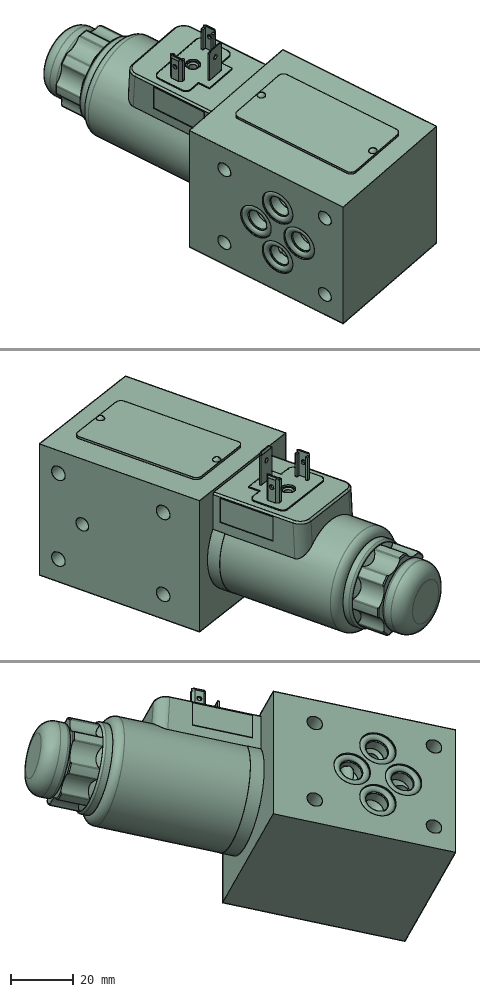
import cadquery as cq
import math


BLOCK_LENGTH = 62.0
BLOCK_SIDE = 49.7
MID_Z = BLOCK_SIDE / 2

MOUNT_DIA = 5.2
MOUNT_NEAR_X = 14.1
MOUNT_FAR_X = 54.7
MOUNT_NEAR_SPACING = 31.0
MOUNT_FAR_SPACING = 32.5

PORT_MID_X = 35.6
PORT_MID_Z = 25.0
PORT_SPACING_X = 17.5
PORT_SPACING_Z = 21.0
PORT_DIA = 7.7
PORT_DEPTH = 5.4
DRILL_TIP_ANGLE = 118
SEAL_OUTER_DIA = 12.4
SEAL_WIDTH = 2.3
SEAL_THICKNESS = 1.6
LEFT_PORT_X = PORT_MID_X - PORT_SPACING_X / 2
RIGHT_PORT_X = PORT_MID_X + PORT_SPACING_X / 2
UPPER_PORT_Z = PORT_MID_Z + PORT_SPACING_Z / 2
LOWER_PORT_Z = PORT_MID_Z - PORT_SPACING_Z / 2

PASSAGE_DIA = 4.8
THROUGH_OFFSET_X = 1.1
RISER_DEPTH = PORT_DEPTH + 0.7
RISER_BOTTOM_Z = PORT_MID_Z - 0.8
RISER_LENGTH = 8.0
GALLERY_DIA = 12.1
GALLERY_LENGTH = 10.7
GALLERY_DEPTH = 24.2
SIDE_PASSAGE_OFFSET_X = 2.4
SIDE_PASSAGE_DROP = 2.1
SIDE_PASSAGE_LENGTH = 6.7
SIDE_PASSAGE_DEPTH = PORT_DEPTH + 2.0
GALLERY_Z = UPPER_PORT_Z + PASSAGE_DIA / 2

PLATE_LENGTH = 48.0
PLATE_WIDTH = 26.0
PLATE_START_X = 7.1
PLATE_CORNER = 2.0
PLATE_THICKNESS = 0.8
RIVET_DIA = 3.0
RIVET_CENTRE_RISE = 0.3

AXIS_Y = 27.0
AXIS_Z = MID_Z
COIL_DIA = 36.1
COIL_LENGTH = 50.5
COIL_ROUNDING = 3.0
COLLAR_DIA = 36.3
COLLAR_LENGTH = 4.7

HOUSING_WIDTH = 30.1
HOUSING_TOP_Z = 48.8
HOUSING_TOP_LENGTH = 35.2
HOUSING_DRAFT_ANGLE = 3.0
HOUSING_CORNER = 4.2
HOUSING_TOP_CHAMFER = 0.7

LABEL_START_X = -23.4
LABEL_END_X = -3.0
LABEL_BOTTOM_Z = 38.7
LABEL_TOP_Z = 47.8
LABEL_DEPTH = 0.2

PAD_HEIGHT = 0.4
PAD_START_X = -25.7
PAD_LENGTH = 13.4
PAD_WIDTH = 24.2
PAD_CORNER = 2.0
PAD_TAB_LENGTH = 4.4
PAD_TAB_WIDTH = 12.1
PAD_TOP_Z = HOUSING_TOP_Z + PAD_HEIGHT

SCREW_X = -19.1
SCREW_SEAT_DIA = 4.8
SCREW_SEAT_DEPTH = 0.7
SCREW_RIM_DIA = 3.8
SCREW_HOLE_DIA = 2.7
SCREW_HOLE_DEPTH = 6.7

CHANNEL_WIDTH = 4.8
CHANNEL_FACE_WIDTH = 3.0
CHANNEL_OUTER_REACH = 9.5
CHANNEL_DEPTH = 2.0
CHANNEL_BEVEL = 0.8
CHANNEL_TIP_HEIGHT = 0.8
CHANNEL_TIP_BEVEL = 0.3
CHANNEL_THICKNESS = 0.8
CHANNEL_TOP_Z = 58.5
CHANNEL_FLANGE_DROP = 0.8
CHANNEL_HOLE_Z = 54.7
CONTACT_HOLE_DIA = 1.6

BLADE_X = -10.3
BLADE_THICKNESS = 0.7
BLADE_WIDTH = 6.3
BLADE_TOP_Z = 61.2
BLADE_HOLE_Z = 57.0
BLADE_CORNER = 1.0
BLADE_BEVEL = 0.4

NUT_DIA = 28.9
NUT_LENGTH = 10.1
NUT_EDGE = 0.4
FLANGE_DIA = 30.4
FLANGE_LENGTH = 3.1
FLANGE_ROUNDING = 0.8
FLUTE_COUNT = 8
FLUTE_ROOT_RADIUS = 12.5
FLUTE_RADIUS = 5.9
FLUTE_RUNOUT = 1.3

CAP_DIA = 25.0
CAP_LENGTH = 8.6
CAP_ROUNDING = 5.0
CAP_BACK_ROUNDING = 1.1

FLANGE_BACK_X = -COIL_LENGTH
NUT_BACK_X = FLANGE_BACK_X - FLANGE_LENGTH
NUT_FRONT_X = NUT_BACK_X - NUT_LENGTH
CAP_FRONT_X = NUT_FRONT_X - CAP_LENGTH


def disc(start_x, end_x, diameter):
    """Cylinder on the coil axis."""
    centre = cq.Workplane("YZ", origin=(start_x, AXIS_Y, AXIS_Z))
    return centre.circle(diameter / 2).extrude(end_x - start_x)


def drilling(x, z, start_y, depth, diameter):
    """Flat-ended drilling that runs into the block along +Y."""
    return cq.Workplane("XZ", origin=(x, start_y, z)).circle(diameter / 2).extrude(-depth)


def box_between(start, end):
    """Box given by two opposite corners."""
    size = [b - a for a, b in zip(start, end)]
    return cq.Workplane("XY", origin=start).box(*size, centered=False)



PORTS = [
    (LEFT_PORT_X, PORT_MID_Z),
    (RIGHT_PORT_X, PORT_MID_Z),
    (PORT_MID_X, UPPER_PORT_Z),
    (PORT_MID_X, LOWER_PORT_Z),
]


def port_cavity(x, z):
    """Seal groove and a drilled port with a conical end."""
    port_radius = PORT_DIA / 2
    tip_depth = port_radius / math.tan(math.radians(DRILL_TIP_ANGLE / 2))
    profile = [
        (0, 0),
        (SEAL_OUTER_DIA / 2, 0),
        (SEAL_OUTER_DIA / 2, SEAL_THICKNESS),
        (port_radius, SEAL_THICKNESS),
        (port_radius, PORT_DEPTH),
        (0, PORT_DEPTH + tip_depth),
    ]
    return cq.Workplane("XY").polyline(profile).close().revolve(360, (0, 0), (0, 1)).translate((x, 0, z))


def inner_passages():
    """Drillings that lead on from the ends of the ports."""
    through_x = RIGHT_PORT_X + THROUGH_OFFSET_X
    through = drilling(through_x, PORT_MID_Z, PORT_DEPTH, BLOCK_SIDE - PORT_DEPTH, PASSAGE_DIA)
    riser = (
        cq.Workplane("XY", origin=(LEFT_PORT_X, RISER_DEPTH, RISER_BOTTOM_Z))
        .circle(PASSAGE_DIA / 2)
        .extrude(RISER_LENGTH)
    )
    link = drilling(PORT_MID_X, UPPER_PORT_Z, PORT_DEPTH, GALLERY_DEPTH - PORT_DEPTH, PASSAGE_DIA)
    gallery = (
        cq.Workplane("YZ", origin=(PORT_MID_X - GALLERY_LENGTH / 2, GALLERY_DEPTH, GALLERY_Z))
        .circle(GALLERY_DIA / 2)
        .extrude(GALLERY_LENGTH)
    )
    side_passage = (
        cq.Workplane(
            "YZ",
            origin=(PORT_MID_X - SIDE_PASSAGE_OFFSET_X, SIDE_PASSAGE_DEPTH, LOWER_PORT_Z - SIDE_PASSAGE_DROP),
        )
        .circle(PASSAGE_DIA / 2)
        .extrude(-SIDE_PASSAGE_LENGTH)
    )
    return [through, riser, link, gallery, side_passage]


def mounting_holes():
    holes = []
    for x, spacing in ((MOUNT_NEAR_X, MOUNT_NEAR_SPACING), (MOUNT_FAR_X, MOUNT_FAR_SPACING)):
        for side in (-1, 1):
            holes.append(drilling(x, MID_Z + side * spacing / 2, 0, BLOCK_SIDE, MOUNT_DIA))
    return holes


def add_nameplate(body):
    """Raised plate on the top face with a domed rivet at each end."""
    plate_mid_x = PLATE_START_X + PLATE_LENGTH / 2
    plate = (
        cq.Workplane("XY", origin=(plate_mid_x, AXIS_Y, BLOCK_SIDE))
        .rect(PLATE_LENGTH, PLATE_WIDTH)
        .extrude(PLATE_THICKNESS)
        .edges("|Z")
        .fillet(PLATE_CORNER)
    )
    body = body.union(plate)
    rivet_reach = (PLATE_LENGTH - RIVET_DIA) / 2
    for side in (-1, 1):
        centre = (plate_mid_x + side * rivet_reach, AXIS_Y, BLOCK_SIDE + RIVET_CENTRE_RISE)
        body = body.union(cq.Workplane("XY", origin=centre).sphere(RIVET_DIA / 2))
    return body


def make_block():
    body = box_between((0, 0, 0), (BLOCK_LENGTH, BLOCK_SIDE, BLOCK_SIDE))
    body = add_nameplate(body)
    for x, z in PORTS:
        body = body.cut(port_cavity(x, z))
    for cutter in inner_passages() + mounting_holes():
        body = body.cut(cutter)
    return body




def make_seal(x, z):
    """Oval-section ring that fills its groove up to the port face."""
    ring_radius = (SEAL_OUTER_DIA - SEAL_WIDTH) / 2
    section = cq.Workplane("XY", origin=(ring_radius, SEAL_THICKNESS / 2, 0)).ellipse(
        SEAL_WIDTH / 2, SEAL_THICKNESS / 2
    )
    ring = section.revolve(360, (-ring_radius, 0), (-ring_radius, 1))
    return ring.translate((x, 0, z))




def connector_housing():
    """Box above the coil with a drafted end face and rounded corners."""
    draft_run = (HOUSING_TOP_Z - AXIS_Z) * math.tan(math.radians(HOUSING_DRAFT_ANGLE))
    side_outline = [
        (0, AXIS_Z),
        (0, HOUSING_TOP_Z),
        (-HOUSING_TOP_LENGTH, HOUSING_TOP_Z),
        (-HOUSING_TOP_LENGTH - draft_run, AXIS_Z),
    ]
    housing = (
        cq.Workplane("XZ", origin=(0, AXIS_Y, 0))
        .polyline(side_outline)
        .close()
        .extrude(HOUSING_WIDTH / 2, both=True)
    )
    housing = housing.faces("<X").edges("not |Y").fillet(HOUSING_CORNER)
    return housing.faces(">Z").edges("not >X").chamfer(HOUSING_TOP_CHAMFER)


def label_area(inner_y, outer_y):
    start = (LABEL_START_X, inner_y, LABEL_BOTTOM_Z)
    return box_between(start, (LABEL_END_X, outer_y, LABEL_TOP_Z))


def contact_pad():
    """T-shaped pad on top of the housing."""
    main = (
        cq.Workplane("XY", origin=(PAD_START_X + PAD_LENGTH / 2, AXIS_Y, HOUSING_TOP_Z))
        .rect(PAD_LENGTH, PAD_WIDTH)
        .extrude(PAD_HEIGHT)
        .edges("|Z")
        .fillet(PAD_CORNER)
    )
    tab_start_x = PAD_START_X + PAD_LENGTH
    tab = box_between(
        (tab_start_x, AXIS_Y - PAD_TAB_WIDTH / 2, HOUSING_TOP_Z),
        (tab_start_x + PAD_TAB_LENGTH, AXIS_Y + PAD_TAB_WIDTH / 2, PAD_TOP_Z),
    )
    return main.union(tab)


def screw_hole():
    """Stepped screw hole with a countersunk rim and a conical end."""
    hole_radius = SCREW_HOLE_DIA / 2
    rim_radius = SCREW_RIM_DIA / 2
    rim_depth = SCREW_SEAT_DEPTH + rim_radius - hole_radius
    profile = [
        (0, 0),
        (SCREW_SEAT_DIA / 2, 0),
        (SCREW_SEAT_DIA / 2, -SCREW_SEAT_DEPTH),
        (rim_radius, -SCREW_SEAT_DEPTH),
        (hole_radius, -rim_depth),
        (hole_radius, -SCREW_HOLE_DEPTH),
        (0, -SCREW_HOLE_DEPTH - hole_radius),
    ]
    hole = cq.Workplane("XZ").polyline(profile).close().revolve(360, (0, 0), (0, 1))
    return hole.translate((SCREW_X, AXIS_Y, PAD_TOP_Z))


def channel_contact(side):
    """Contact folded to a channel that opens towards the screw; side is +1 or -1 along Y."""
    half_width = CHANNEL_WIDTH / 2
    inner_half_width = half_width - CHANNEL_THICKNESS
    outer = CHANNEL_OUTER_REACH
    web_inner = outer - CHANNEL_THICKNESS
    inner = outer - CHANNEL_DEPTH
    section = [
        (-CHANNEL_FACE_WIDTH / 2, outer),
        (CHANNEL_FACE_WIDTH / 2, outer),
        (half_width, outer - CHANNEL_BEVEL),
        (half_width, inner),
        (inner_half_width, inner),
        (inner_half_width, web_inner),
        (-inner_half_width, web_inner),
        (-inner_half_width, inner),
        (-half_width, inner),
        (-half_width, outer - CHANNEL_BEVEL),
    ]
    contact = (
        cq.Workplane("XY", origin=(SCREW_X, AXIS_Y, HOUSING_TOP_Z))
        .polyline([(x, side * y) for x, y in section])
        .close()
        .extrude(CHANNEL_TOP_Z - HOUSING_TOP_Z)
    )
    flange_trim = box_between(
        (SCREW_X - CHANNEL_WIDTH, AXIS_Y - web_inner, CHANNEL_TOP_Z - CHANNEL_FLANGE_DROP),
        (SCREW_X + CHANNEL_WIDTH, AXIS_Y + web_inner, CHANNEL_TOP_Z),
    )
    hole = (
        cq.Workplane("XZ", origin=(SCREW_X, AXIS_Y, CHANNEL_HOLE_Z))
        .circle(CONTACT_HOLE_DIA / 2)
        .extrude(-side * outer)
    )
    tip_outline = [
        (side * outer, CHANNEL_TOP_Z - CHANNEL_TIP_HEIGHT),
        (side * outer, CHANNEL_TOP_Z),
        (side * (outer - CHANNEL_TIP_BEVEL), CHANNEL_TOP_Z),
    ]
    tip_wedge = (
        cq.Workplane("YZ", origin=(SCREW_X, AXIS_Y, 0))
        .polyline(tip_outline)
        .close()
        .extrude(CHANNEL_WIDTH / 2, both=True)
    )
    return contact.cut(flange_trim).cut(tip_wedge).cut(hole)


def earth_contact():
    """Flat blade across the X direction with bevelled upper corners."""
    half_width = BLADE_WIDTH / 2
    height = BLADE_TOP_Z - HOUSING_TOP_Z
    blade = (
        cq.Workplane("XY", origin=(BLADE_X, AXIS_Y, HOUSING_TOP_Z + height / 2))
        .box(BLADE_THICKNESS, BLADE_WIDTH, height)
        .edges("|X and >Z")
        .chamfer(BLADE_CORNER)
        .edges("<X and >Z")
        .chamfer(BLADE_CORNER, BLADE_BEVEL)
    )
    hole = (
        cq.Workplane("YZ", origin=(BLADE_X, AXIS_Y, BLADE_HOLE_Z))
        .circle(CONTACT_HOLE_DIA / 2)
        .extrude(half_width, both=True)
    )
    return blade.cut(hole)


def make_coil():
    winding = disc(-COIL_LENGTH, 0, COIL_DIA).faces("<X").edges().fillet(COIL_ROUNDING)
    collar = disc(-COLLAR_LENGTH, 0, COLLAR_DIA)
    near_side_y = AXIS_Y - HOUSING_WIDTH / 2
    far_side_y = AXIS_Y + HOUSING_WIDTH / 2
    body = winding.union(collar).union(connector_housing())
    body = body.union(label_area(near_side_y - LABEL_DEPTH, near_side_y + LABEL_DEPTH))
    body = body.union(label_area(far_side_y - LABEL_DEPTH, far_side_y + LABEL_DEPTH))
    body = body.union(contact_pad()).cut(screw_hole())
    for side in (-1, 1):
        body = body.union(channel_contact(side))
    return body.union(earth_contact())




def fluted_barrel():
    """Barrel with hollow flutes halfway between its lands."""
    barrel = disc(NUT_FRONT_X, NUT_BACK_X, NUT_DIA)
    centre_radius = FLUTE_ROOT_RADIUS + FLUTE_RADIUS
    for index in range(FLUTE_COUNT):
        angle = 2 * math.pi * (index + 0.5) / FLUTE_COUNT
        centre_y = AXIS_Y + centre_radius * math.cos(angle)
        centre_z = AXIS_Z + centre_radius * math.sin(angle)
        flute = (
            cq.Workplane("YZ", origin=(NUT_FRONT_X, centre_y, centre_z))
            .circle(FLUTE_RADIUS)
            .extrude(NUT_LENGTH)
        )
        barrel = barrel.cut(flute)
    barrel = barrel.edges("|X").fillet(NUT_EDGE)
    bevelled_disc = disc(NUT_FRONT_X, NUT_BACK_X, NUT_DIA).faces("<X").edges().chamfer(NUT_EDGE)
    return barrel.intersect(bevelled_disc)


def flute_runout():
    """Cone that closes the flutes in front of the flange."""
    start_x = NUT_BACK_X - FLUTE_RUNOUT
    cone = cq.Solid.makeCone(
        FLUTE_ROOT_RADIUS, NUT_DIA / 2, FLUTE_RUNOUT, cq.Vector(start_x, AXIS_Y, AXIS_Z), cq.Vector(1, 0, 0)
    )
    return cq.Workplane(cone)


def make_nut():
    flange = disc(NUT_BACK_X, FLANGE_BACK_X, FLANGE_DIA).faces("<X").edges().fillet(FLANGE_ROUNDING)
    return flange.union(flute_runout()).union(fluted_barrel())




def make_cap():
    cap = disc(CAP_FRONT_X, NUT_FRONT_X, CAP_DIA)
    cap = cap.faces("<X").edges().fillet(CAP_ROUNDING)
    return cap.faces(">X").edges().fillet(CAP_BACK_ROUNDING)


block = make_block()
seals = [make_seal(x, z).val() for x, z in PORTS]
coil = make_coil()
nut = make_nut()
cap = make_cap()

result = cq.Compound.makeCompound([block.val(), coil.val(), nut.val(), cap.val(), *seals])